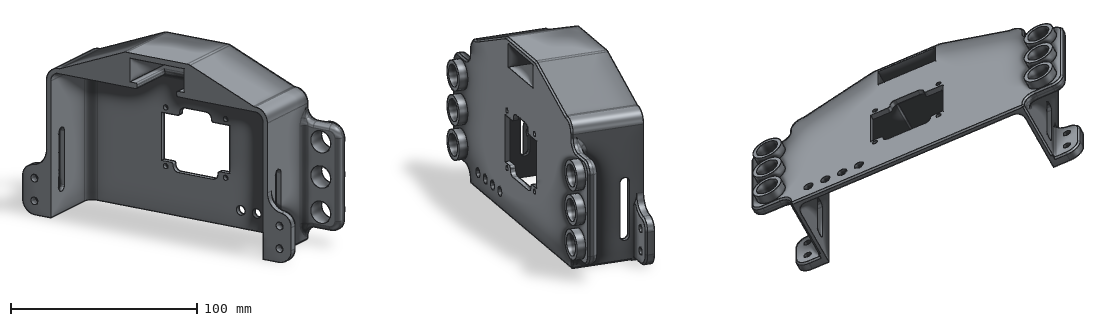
import cadquery as cq
import math

overall_width = 186.0
overall_height = 102.0
body_depth = 42.0
boss_height = 5.0
edge_break = 1.0

hood_half_width = 70.0
wall = 2.8
back_wall = 3.0
shoulder_height = 85.2
shoulder_radius = 7.8
slope_start = 61.5
slope_end = 20.0
slope_start_radius = 2.5
slope_end_radius = 5.0
ceiling_height = 82.4
inner_radius = shoulder_radius - wall

window_half_width = 17.1
window_bottom = 85.5
window_top = 99.0
slit_half_width = 12.5
slit_depth = 27.9

ear_thickness = 6.0
ear_bottom = 9.0
ear_height = 59.9
ear_corner_radius = 6.5
ear_front_radius = 3.0
ear_root_radius = 3.2
boss_diameter = 17.0
ear_hole_diameter = 12.5
ear_hole_x = 81.1
ear_hole_pitch = 19.9

flange_half_width = 85.0
flange_thickness = 5.0
flange_bottom_radius = 8.0
flange_top_radius = 7.0
flange_straight_top = 21.0
flange_blend_radius = 10.0
flange_hole_diameter = 4.3
flange_hole_x = 77.5
flange_hole_heights = (7.8, 20.6)

slot_y = 11.0
slot_width = 5.5
slot_bottom = 12.0
slot_length = 36.0

opening_half_width = 21.5
opening_bottom = 29.5
opening_top = 56.7
notch_depth = 5.0
notch_lip_radius = 1.5
notch_corner_radius = 3.3
top_notch_half_width = 10.0
bottom_notch_half_width = 14.1
screw_diameter = 2.8
screw_x = 19.0
screw_heights = (26.8, 59.9)
cable_hole_diameter = 5.4
cable_hole_z = 10.0
cable_hole_pitch = 10.0
cable_hole_first_x = 28.6
cable_hole_count = 4

overlap = 1.9
cut_depth = 11.2

reach = 0.2


def slab(x_min, x_max, y_min, y_max, z_min, z_max):
    """Axis-aligned block between the given limits."""
    size = (x_max - x_min, y_max - y_min, z_max - z_min)
    return cq.Workplane().box(*size, centered=False).translate((x_min, y_min, z_min))


def outline(points, y_min, y_max):
    """Extrude a closed XZ outline from y_min to y_max."""
    sketch = cq.Workplane("XZ", origin=(0, y_min, 0)).polyline(points).close()
    return sketch.extrude(y_min - y_max)


def rods(points, diameter, y_min, y_max):
    """Cylinders along Y at the given XZ points."""
    sketch = cq.Workplane("XZ", origin=(0, y_min, 0)).pushPoints(points).circle(diameter / 2)
    return sketch.extrude(y_min - y_max)


def near(x, z, y_min=-overlap, y_max=body_depth + overlap):
    """Selector for edges whose centre lies close to an XZ position."""
    return cq.selectors.BoxSelector((x - reach, y_min, z - reach), (x + reach, y_max, z + reach))


def hood_block():
    """Solid hood with rounded shoulders and chamfered lower side edges."""
    points = [
        (-hood_half_width, edge_break),
        (-hood_half_width + edge_break, 0),
        (hood_half_width - edge_break, 0),
        (hood_half_width, edge_break),
        (hood_half_width, shoulder_height),
        (slope_start, shoulder_height),
        (slope_end, overall_height),
        (-slope_end, overall_height),
        (-slope_start, shoulder_height),
        (-hood_half_width, shoulder_height),
    ]
    block = outline(points, 0, body_depth)
    corners = [
        (hood_half_width, shoulder_height, shoulder_radius),
        (slope_start, shoulder_height, slope_start_radius),
        (slope_end, overall_height, slope_end_radius),
    ]
    for x, z, radius in corners:
        for side in (-1, 1):
            block = block.edges(near(side * x, z)).fillet(radius)
    return block


def side_ear():
    """Right-hand ear, blended into the side wall."""
    front = body_depth - ear_thickness
    ear_top = ear_bottom + ear_height
    inside = hood_half_width - wall
    tip = overall_width / 2
    middle = (ear_bottom + ear_top) / 2
    wall_top = shoulder_height - shoulder_radius
    ear = slab(inside, hood_half_width, 0, body_depth, edge_break, wall_top)
    ear = ear.union(slab(inside, tip, front, body_depth, ear_bottom, ear_top))
    for x in (hood_half_width, tip):
        for z in (ear_bottom, ear_top):
            ear = ear.edges("|Y").edges(near(x, z)).fillet(ear_corner_radius)
    front_edge = near(tip, middle, front - reach, front + reach)
    ear = ear.edges(front_edge).fillet(ear_front_radius)
    root_edge = near(hood_half_width, middle, front - reach, front + reach)
    return ear.edges("|Z").edges(root_edge).fillet(ear_root_radius)


def flange():
    """Right-hand mounting flange: an S-shaped top edge, a rounded root and a chamfered back edge."""
    inside = hood_half_width - wall
    top_x = flange_half_width - flange_top_radius
    blend_x = hood_half_width + flange_blend_radius
    centre_distance = flange_top_radius + flange_blend_radius
    blend_z = flange_straight_top + math.sqrt(centre_distance**2 - (blend_x - top_x) ** 2)
    share = flange_top_radius / centre_distance
    meet_x = top_x + share * (blend_x - top_x)
    meet_z = flange_straight_top + share * (blend_z - flange_straight_top)
    plate = (
        cq.Workplane("XZ")
        .moveTo(inside, 0)
        .lineTo(flange_half_width - flange_bottom_radius, 0)
        .radiusArc((flange_half_width, flange_bottom_radius), -flange_bottom_radius)
        .lineTo(flange_half_width, flange_straight_top)
        .radiusArc((meet_x, meet_z), -flange_top_radius)
        .radiusArc((hood_half_width, blend_z), flange_blend_radius)
        .lineTo(inside, blend_z)
        .close()
        .extrude(-flange_thickness)
    )
    backing_depth = flange_thickness + 2 * edge_break
    bracket = plate.union(slab(inside, hood_half_width, 0, backing_depth, 0, blend_z))
    back_rim = cq.selectors.BoxSelector(
        (hood_half_width + reach, flange_thickness - reach, -reach),
        (flange_half_width + reach, flange_thickness + reach, blend_z),
    )
    bracket = bracket.edges(back_rim).chamfer(edge_break)
    root = cq.selectors.BoxSelector(
        (hood_half_width - reach, flange_thickness - reach, 0),
        (hood_half_width + reach, flange_thickness + reach, blend_z),
    )
    return bracket.edges("|Z").edges(root).fillet(edge_break)


def inner_space():
    """Inside of the hood, open at the front and underneath."""
    inside = hood_half_width - wall
    back = body_depth - back_wall
    space = slab(-inside, inside, -overlap, back, -overlap, ceiling_height)
    space = space.edges("|Y and >Z").fillet(inner_radius)
    return space.faces(">Y").edges("not <Z").fillet(inner_radius)


def opening_notch(edge_z, half_width, direction):
    """Notch in the opening's top (+1) or bottom (-1) edge, with rounded lips and inner corners."""
    lip_z = edge_z + direction * notch_lip_radius
    end_z = edge_z + direction * notch_depth
    start_z = edge_z - direction * overlap
    lip_x = half_width + notch_lip_radius
    flat_x = half_width - notch_corner_radius
    corner_z = end_z - direction * notch_corner_radius
    lip = direction * notch_lip_radius
    corner = direction * notch_corner_radius
    notch = (
        cq.Workplane("XZ", origin=(0, body_depth + overlap, 0))
        .moveTo(-lip_x, start_z)
        .lineTo(-lip_x, edge_z)
        .radiusArc((-half_width, lip_z), -lip)
        .lineTo(-half_width, corner_z)
        .radiusArc((-flat_x, end_z), corner)
        .lineTo(flat_x, end_z)
        .radiusArc((half_width, corner_z), corner)
        .lineTo(half_width, lip_z)
        .radiusArc((lip_x, edge_z), -lip)
        .lineTo(lip_x, start_z)
        .close()
    )
    return notch.extrude(cut_depth)


def back_openings():
    """Device opening with its screw holes, and the row of cable holes."""
    back = body_depth + overlap
    front = back - cut_depth
    cut = slab(-opening_half_width, opening_half_width, front, back, opening_bottom, opening_top)
    cut = cut.union(opening_notch(opening_top, top_notch_half_width, 1))
    cut = cut.union(opening_notch(opening_bottom, bottom_notch_half_width, -1))
    screws = [(side * screw_x, z) for side in (-1, 1) for z in screw_heights]
    cables = [(cable_hole_first_x + i * cable_hole_pitch, cable_hole_z) for i in range(cable_hole_count)]
    cut = cut.union(rods(screws, screw_diameter, front, back))
    return cut.union(rods(cables, cable_hole_diameter, front, back))


def side_slots():
    """Upright round-ended slots through both side walls."""
    start_x = -hood_half_width - overlap
    sketch = (
        cq.Workplane("YZ", origin=(start_x, 0, 0))
        .center(slot_y, slot_bottom + slot_length / 2)
        .slot2D(slot_length, slot_width, 90)
    )
    return sketch.extrude(-2 * start_x)


wing = side_ear().union(flange())
result = hood_block().union(wing).union(wing.mirror("YZ"))
result = result.faces(">Y").chamfer(edge_break)

ear_middle = ear_bottom + ear_height / 2
ear_points = [
    (side * ear_hole_x, ear_middle + row * ear_hole_pitch) for side in (-1, 1) for row in (-1, 0, 1)
]
boss_end = body_depth + boss_height
result = result.union(rods(ear_points, boss_diameter, body_depth - ear_thickness / 2, boss_end))

result = result.cut(inner_space())
window_back = body_depth + overlap
result = result.cut(
    slab(-window_half_width, window_half_width, -overlap, window_back, window_bottom, window_top)
)
slit_bottom = ceiling_height - overlap
slit_top = window_bottom + overlap
result = result.cut(
    slab(-slit_half_width, slit_half_width, -overlap, slit_depth, slit_bottom, slit_top)
)
for rim_z in (ceiling_height, window_bottom):
    rim = cq.selectors.BoxSelector(
        (-slit_half_width - reach, reach, rim_z - reach),
        (slit_half_width + reach, slit_depth + reach, rim_z + reach),
    )
    result = result.edges(rim).fillet(edge_break)

result = result.cut(back_openings())
result = result.cut(side_slots())
result = result.cut(rods(ear_points, ear_hole_diameter, body_depth - cut_depth, boss_end + overlap))
flange_points = [(side * flange_hole_x, z) for side in (-1, 1) for z in flange_hole_heights]
result = result.cut(rods(flange_points, flange_hole_diameter, -overlap, flange_thickness + overlap))